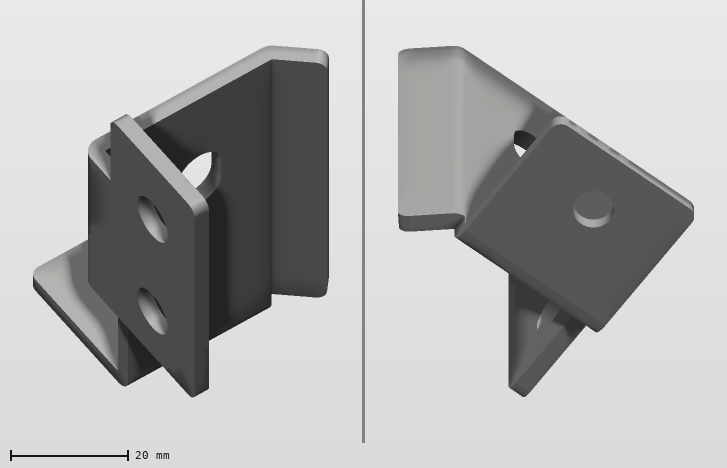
import cadquery as cq
import math


thickness = 3.0
inner_bend_radius = 0.1
outer_bend_radius = thickness + inner_bend_radius
corner_radius = 2.0
right_angle = 90.0

wall_width = 30.0
wall_start_y = 7.75
wall_end_y = wall_start_y + wall_width
wall_middle_y = wall_start_y + wall_width / 2
wall_top_z = 69.5
slot_width = 9.0
slot_length = 13.0
slot_center_z = 47.5

flange_end_x = 33.75
flange_bottom_z = 34.5
flange_height = 52.0
flange_top_z = flange_bottom_z + flange_height
tab_width = 25.0
tab_start_x = flange_end_x - tab_width
flange_hole_diameter = 9.0
flange_hole_x = flange_end_x - tab_width / 2
hole_to_top = 15.0
upper_hole_z = flange_top_z - hole_to_top
hole_pitch = 25.0
hole_count = 2

foot_end_x = -26.5
foot_hole_diameter = 7.0
hole_to_foot_end = 10.0
foot_hole_x = foot_end_x + hole_to_foot_end

lip_angle = 41.0
lip_end_y = 46.9
lip_bottom_z = 5.5
lip_height = wall_top_z - lip_bottom_z
lip_bend_depth = outer_bend_radius * math.sin(math.radians(lip_angle))
lip_length = (lip_end_y - wall_end_y - lip_bend_depth) / math.cos(math.radians(lip_angle))


def box(x_range, y_range, z_range):
    """Axis-aligned block between the given (low, high) limits."""
    size = [high - low for low, high in (x_range, y_range, z_range)]
    return cq.Workplane("XY").box(*size, centered=False).translate((x_range[0], y_range[0], z_range[0]))


def bend(plane, height, angle):
    """Curved strip around the plane origin, from local -X round towards local +Y."""
    def point(radius, degrees):
        turn = math.radians(degrees)
        return (-radius * math.cos(turn), radius * math.sin(turn))

    return (
        cq.Workplane(plane)
        .moveTo(*point(inner_bend_radius, 0))
        .lineTo(*point(outer_bend_radius, 0))
        .threePointArc(point(outer_bend_radius, angle / 2), point(outer_bend_radius, angle))
        .lineTo(*point(inner_bend_radius, angle))
        .threePointArc(point(inner_bend_radius, angle / 2), point(inner_bend_radius, 0))
        .close()
        .extrude(height)
    )


def make_wall():
    """Upright plate with a vertical slot, narrower below the flange."""
    sheet = (0, thickness)
    lower = box(sheet, (wall_start_y, wall_end_y), (outer_bend_radius, wall_top_z))
    upper = box(sheet, (outer_bend_radius, wall_end_y), (flange_bottom_z, wall_top_z))
    slot = (
        cq.Workplane("YZ")
        .center(wall_middle_y, slot_center_z)
        .slot2D(slot_length, slot_width, right_angle)
        .extrude(thickness)
    )
    return lower.union(upper).cut(slot)


def make_flange():
    """Plate along X with two holes and a raised tab, bent from the front edge of the wall."""
    sheet = (0, thickness)
    tab = box((tab_start_x, flange_end_x), sheet, (flange_bottom_z, flange_top_z))
    tab = tab.edges("|Y and (>X or >Z)").fillet(corner_radius)
    web = box((outer_bend_radius, tab_start_x), sheet, (flange_bottom_z, wall_top_z))
    hole_places = [(flange_hole_x, upper_hole_z - row * hole_pitch) for row in range(hole_count)]
    holes = (
        cq.Workplane("XZ")
        .pushPoints(hole_places)
        .circle(flange_hole_diameter / 2)
        .extrude(-thickness)
    )
    bend_plane = cq.Plane(
        origin=(outer_bend_radius, outer_bend_radius, wall_top_z), xDir=(1, 0, 0), normal=(0, 0, -1)
    )
    flange_bend = bend(bend_plane, wall_top_z - flange_bottom_z, right_angle)
    return tab.union(web).cut(holes).union(flange_bend)


def make_foot():
    """Horizontal plate with one hole, bent outward from the bottom of the wall."""
    bend_center_x = thickness - outer_bend_radius
    plate = box((foot_end_x, bend_center_x), (wall_start_y, wall_end_y), (0, thickness))
    plate = plate.edges("|Z and <X").fillet(corner_radius)
    hole = (
        cq.Workplane("XY")
        .center(foot_hole_x, wall_middle_y)
        .circle(foot_hole_diameter / 2)
        .extrude(thickness)
    )
    bend_plane = cq.Plane(
        origin=(bend_center_x, wall_end_y, outer_bend_radius), xDir=(-1, 0, 0), normal=(0, -1, 0)
    )
    return plate.cut(hole).union(bend(bend_plane, wall_width, right_angle))


def make_lip():
    """Narrow strip bent inward from the rear edge of the wall."""
    bend_center = (outer_bend_radius, wall_end_y)
    bend_plane = cq.Plane(
        origin=(*bend_center, lip_bottom_z), xDir=(1, 0, 0), normal=(0, 0, 1)
    )
    plate = box(
        (0, thickness),
        (wall_end_y, wall_end_y + lip_length),
        (lip_bottom_z, wall_top_z),
    )
    plate = plate.edges("|X and >Y").fillet(corner_radius)
    plate = plate.rotate((*bend_center, 0), (*bend_center, 1), -lip_angle)
    return bend(bend_plane, lip_height, lip_angle).union(plate)


result = make_wall().union(make_flange()).union(make_foot()).union(make_lip())